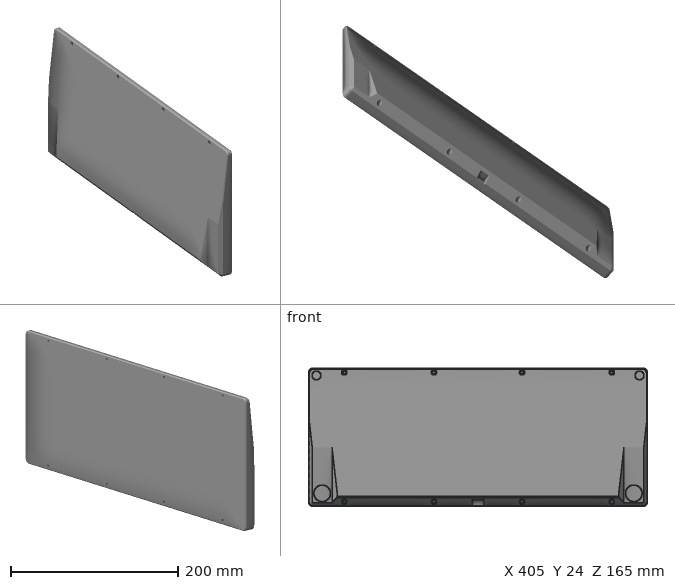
import cadquery as cq
import math

width = 405.0
thickness = 24.0
height = 165.0
corner_radius = 5.3
edge_chamfer = 1.0

top_depth = 6.5
lower_edge_depth = 13.0
crest_z = 12.0
brow_z = 10.0
slope = (thickness - top_depth) / (height - crest_z)


def slope_depth(z):
    """Depth of the sloping front face at height z."""
    return top_depth + slope * (height - z)


foot_top_z = 70.0
foot_depth = slope_depth(foot_top_z)
foot_inner_x = 174.5
foot_chamfer = foot_depth - lower_edge_depth

pad_recess = 0.1
upper_pad_diameter = 10.5
upper_pad_x = 193.0
upper_pad_z = 156.5
lower_pad_diameter = 20.0
lower_pad_x = 186.5
lower_pad_z = 15.5

screw_x = (-160.0, -52.5, 52.5, 160.0)
lower_screw_z = 5.3
upper_screw_z = 160.0
head_diameter = 6.0
shank_diameter = 3.4
head_floor_depth = 3.2

notch_width = 13.5
notch_floor_depth = 11.5
notch_front_depth = 21.5
notch_length = 12.0
notch_corner_radius = 1.2


def cylinder(diameter, x, z, start_depth, end_depth):
    """Cylinder along Y between two depths."""
    plane = cq.Workplane("XZ", origin=(x, -start_depth, z))
    return plane.circle(diameter / 2).extrude(end_depth - start_depth)


def wedge():
    """Side profile swept over the full width, with a narrow brow above the lower 45 degree face."""
    profile = [
        (0, 0),
        (-lower_edge_depth, 0),
        (-lower_edge_depth - brow_z, brow_z),
        (-thickness, crest_z),
        (-top_depth, height),
        (0, height),
    ]
    return cq.Workplane("YZ").polyline(profile).close().extrude(width / 2, both=True)


def tray():
    """Rounded plate as deep as the feet, chamfered around its front."""
    plate = cq.Workplane("XZ", origin=(0, 0, height / 2)).rect(width, height).extrude(foot_depth)
    plate = plate.edges("|Y").fillet(corner_radius)
    return plate.faces("<Y").chamfer(foot_chamfer)


def hump():
    """Central block standing out between the feet, with 45 degree flanks."""
    front_x = foot_inner_x - (thickness - foot_depth)
    outline = [
        (-foot_inner_x, 0),
        (-foot_inner_x, -foot_depth),
        (-front_x, -thickness),
        (front_x, -thickness),
        (foot_inner_x, -foot_depth),
        (foot_inner_x, 0),
    ]
    return cq.Workplane("XY").polyline(outline).close().extrude(height)


def upper_rim(body):
    """Edges bounding the sloping face along the top, round its corners and down to the side chamfers."""
    side_chamfer_top_z = height - (lower_edge_depth - top_depth) / slope
    front_low = (-width, -lower_edge_depth, side_chamfer_top_z)
    back_high = (width, -corner_radius, height + edge_chamfer)
    return body.edges(cq.selectors.BoxSelector(front_low, back_high))


def screw_hole(x, z):
    """Through hole with a counterbored head."""
    head = cylinder(head_diameter, x, z, head_floor_depth, thickness)
    shank = cylinder(shank_diameter, x, z, 0, thickness)
    return head.union(shank)


def upper_pad(x):
    """Shallow round recess square to the sloping face."""
    centre = cq.Vector(x, -slope_depth(upper_pad_z), upper_pad_z)
    normal = cq.Vector(0, -1, slope)
    plane = cq.Plane(origin=centre, xDir=(1, 0, 0), normal=normal)
    return cq.Workplane(plane).circle(upper_pad_diameter / 2).extrude(pad_recess, both=True)


def lower_pad(x):
    """Shallow round recess in a foot."""
    return cylinder(lower_pad_diameter, x, lower_pad_z, foot_depth - pad_recess, foot_depth)


def connector_notch():
    """Rounded slot running up from the lower edge, parallel to the sloping face."""
    notch_depth = notch_front_depth - notch_floor_depth
    centre_depth = (notch_front_depth + notch_floor_depth) / 2
    slot = cq.Workplane("XY", origin=(0, -centre_depth, 0)).rect(notch_width, notch_depth)
    slot = slot.extrude(notch_length, both=True).edges("|Z").fillet(notch_corner_radius)
    pivot = (0, -centre_depth, 0)
    return slot.rotate(pivot, (1, -centre_depth, 0), -math.degrees(math.atan(slope)))


result = tray().union(hump()).intersect(wedge())
result = upper_rim(result).chamfer(edge_chamfer)
result = result.faces(">Y").edges().chamfer(edge_chamfer)

for screw in screw_x:
    result = result.cut(screw_hole(screw, lower_screw_z))
    result = result.cut(screw_hole(screw, upper_screw_z))
for side in (-1, 1):
    result = result.cut(upper_pad(side * upper_pad_x))
    result = result.cut(lower_pad(side * lower_pad_x))
result = result.cut(connector_notch())